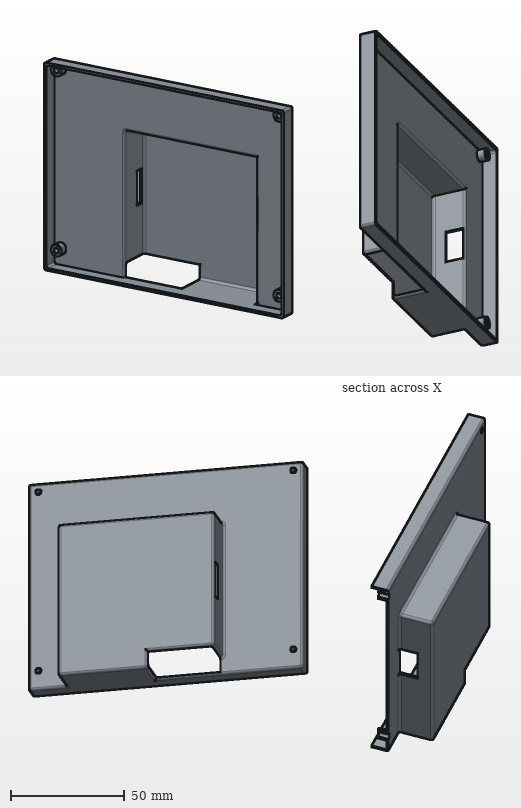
import cadquery as cq

WIDTH = 125.0
DEPTH = 24.0
HEIGHT = 97.0
WALL = 1.2
ROUND = 1.2

TRAY_DEPTH = 8.0
TRAY_FLOOR = TRAY_DEPTH - WALL

HOUSING_LEFT = 36.5
HOUSING_RIGHT = 107.5
HOUSING_TOP = 71.0
NOTCH_RIGHT = 66.8
NOTCH_TOP = 8.0

BOSS_DIAMETER = 5.5
BOSS_HOLE_DIAMETER = 2.53
BOSS_FRONT = 3.0
BOSS_SIDE_INSET = 4.5
BOSS_LOWER_Z = 9.0
BOSS_TOP_INSET = 4.0
BOSS_UPPER_Z = HEIGHT - BOSS_TOP_INSET

LEFT_SLOT_Y = (17.3, 21.3)
LEFT_SLOT_Z = (32.0, 48.0)
RIGHT_WINDOW_Y = (TRAY_DEPTH, 16.7)
RIGHT_WINDOW_Z = (35.6, 50.6)


def box_between(x_range, y_range, z_range):
    """Box given by its lower and upper limits along each axis."""
    limits = (x_range, y_range, z_range)
    sizes = [high - low for low, high in limits]
    corner = [low for low, high in limits]
    return cq.Workplane("XY").box(*sizes, centered=False).translate(tuple(corner))


def make_tray_blank():
    blank = box_between((0, WIDTH), (0, TRAY_DEPTH), (0, HEIGHT))
    return blank.edges("|Y").fillet(ROUND).faces(">Y").edges().fillet(ROUND)


def make_housing_blank():
    """L-shaped block with its back edges and its convex corners rounded."""
    outline = [
        (HOUSING_LEFT, NOTCH_TOP),
        (NOTCH_RIGHT, NOTCH_TOP),
        (NOTCH_RIGHT, 0),
        (HOUSING_RIGHT, 0),
        (HOUSING_RIGHT, HOUSING_TOP),
        (HOUSING_LEFT, HOUSING_TOP),
    ]
    length = DEPTH - TRAY_FLOOR
    block = cq.Workplane("XZ", origin=(0, TRAY_FLOOR, 0)).polyline(outline).close().extrude(-length)
    inner_corner = cq.selectors.BoxSelector(
        (NOTCH_RIGHT - WALL, 0, NOTCH_TOP - WALL),
        (NOTCH_RIGHT + WALL, DEPTH - WALL, NOTCH_TOP + WALL),
    )
    convex_corners = cq.selectors.SubtractSelector(cq.selectors.StringSyntaxSelector("|Y"), inner_corner)
    return block.edges(convex_corners).fillet(ROUND).faces(">Y").edges().fillet(ROUND)


def blend_housing_into_tray(body):
    """Concave fillet where the housing walls leave the back of the tray, above the notch."""
    base_edges = cq.selectors.BoxSelector(
        (HOUSING_LEFT - WALL, TRAY_DEPTH - WALL / 2, NOTCH_TOP + WALL),
        (HOUSING_RIGHT + WALL, TRAY_DEPTH + WALL / 2, HOUSING_TOP + WALL),
    )
    return body.edges(base_edges).fillet(ROUND)


def make_tray_cavity():
    cavity = box_between((WALL, WIDTH - WALL), (0, TRAY_FLOOR), (WALL, HEIGHT - WALL))
    return cavity.edges("|Y").fillet(ROUND)


def make_housing_cavity():
    """Cavity behind the tray floor, flared at the front so that its mouth is rounded."""
    tray_space = box_between((WALL, WIDTH - WALL), (0, TRAY_FLOOR), (WALL, HEIGHT - WALL))
    pocket = box_between(
        (HOUSING_LEFT + WALL, HOUSING_RIGHT - WALL),
        (TRAY_FLOOR, DEPTH - WALL),
        (WALL, HOUSING_TOP - WALL),
    )
    cavity = tray_space.union(pocket.edges("|Y and <X and >Z").fillet(ROUND))

    mouth_edges = cq.selectors.BoxSelector(
        (HOUSING_LEFT, TRAY_FLOOR - WALL / 2, 2 * WALL),
        (HOUSING_RIGHT, TRAY_FLOOR + WALL / 2, HOUSING_TOP),
    )
    cavity = cavity.edges(mouth_edges).fillet(ROUND)

    lower_right_edge = cq.selectors.BoxSelector(
        (HOUSING_RIGHT - 2 * WALL, TRAY_DEPTH, 0),
        (HOUSING_RIGHT, DEPTH, 2 * WALL),
    )
    cavity = cavity.edges(lower_right_edge).fillet(ROUND)
    cavity = cavity.faces(">Y").edges().fillet(ROUND)

    return cavity.intersect(box_between((0, WIDTH), (TRAY_FLOOR, DEPTH), (0, HEIGHT)))


def boss_cylinders(diameter, y_range):
    """Four cylinders along Y at the screw positions."""
    front, back = y_range
    positions = [
        (x, z)
        for x in (BOSS_SIDE_INSET, WIDTH - BOSS_SIDE_INSET)
        for z in (BOSS_LOWER_Z, BOSS_UPPER_Z)
    ]
    plane = cq.Workplane("XZ", origin=(0, front, 0))
    return plane.pushPoints(positions).circle(diameter / 2).extrude(front - back)


def cut_side_openings(body):
    left_wall = (HOUSING_LEFT - WALL, HOUSING_LEFT + 2 * WALL)
    right_wall = (HOUSING_RIGHT - 2 * WALL, HOUSING_RIGHT + 2 * WALL)
    left_slot = box_between(left_wall, LEFT_SLOT_Y, LEFT_SLOT_Z)
    right_window = box_between(right_wall, RIGHT_WINDOW_Y, RIGHT_WINDOW_Z)
    return body.cut(left_slot).cut(right_window)


bosses = boss_cylinders(BOSS_DIAMETER, (BOSS_FRONT, TRAY_DEPTH))
boss_holes = boss_cylinders(BOSS_HOLE_DIAMETER, (0, TRAY_DEPTH))

shell = blend_housing_into_tray(make_tray_blank().union(make_housing_blank()))
shell = shell.cut(make_housing_cavity()).cut(make_tray_cavity().cut(bosses))
result = cut_side_openings(shell.cut(boss_holes))